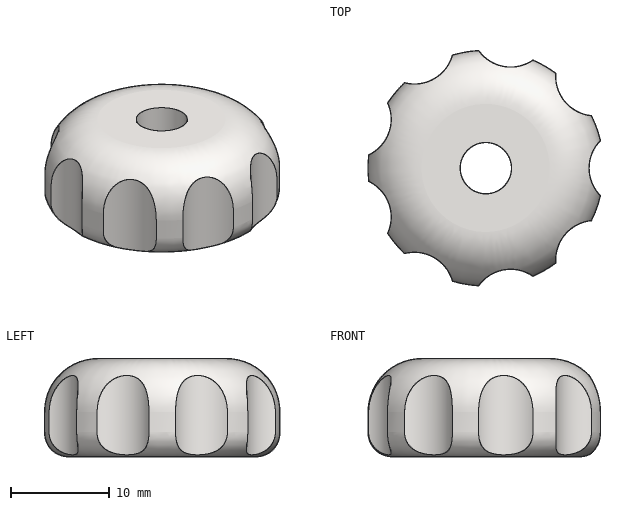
import cadquery as cq

outer_radius = 12.0
height = 10.0
bore_diameter = 5.2
top_round = 5.48
bottom_round = 2.5

grip_count = 9
grip_radius = 4.0
grip_depth = 1.48
grip_center_radius = outer_radius - grip_depth + grip_radius


def make_body():
    """Disc with a large round on top and a smaller one underneath."""
    disc = cq.Workplane("XY").circle(outer_radius).extrude(height)
    return disc.faces(">Z").edges().fillet(top_round).faces("<Z").edges().fillet(bottom_round)


def make_grips():
    """Ring of cylinders that scallop the rim."""
    return (
        cq.Workplane("XY")
        .polarArray(grip_center_radius, 0, 360, grip_count)
        .circle(grip_radius)
        .extrude(height)
    )


def make_bore():
    """Through hole on the knob axis."""
    return cq.Workplane("XY").circle(bore_diameter / 2).extrude(height)


result = make_body().cut(make_grips()).cut(make_bore())